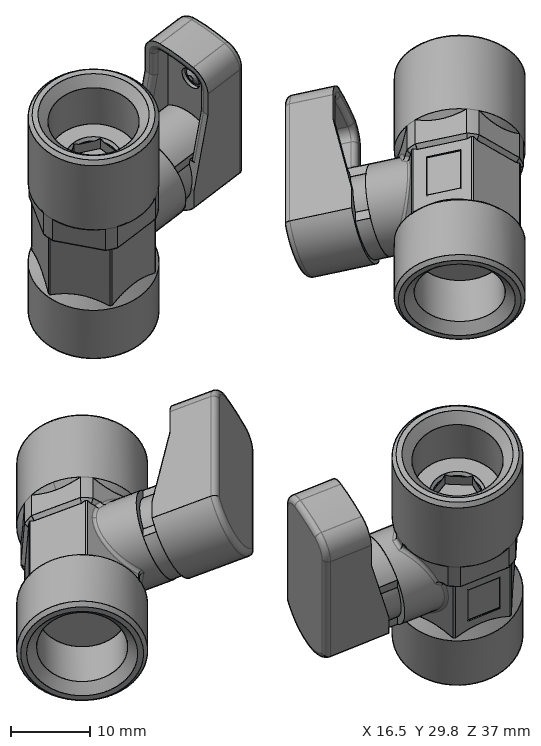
import cadquery as cq
import math

body_length = 37.0
body_radius = 8.25
rim_chamfer = 0.5
lower_port_height = 9.5
upper_port_base = 24.5

hex_flat_radius = 7.0
hex_corner_radius = 8.0
collar_flat_radius = 7.5
collar_base = 20.0
collar_chamfer = collar_flat_radius - hex_flat_radius

port_bore_radius = 5.75
port_mouth_radius = 7.0
port_depth = 8.0

panel_width = 4.5
panel_height = 6.3
panel_center_y = -0.2
panel_center_z = 15.3
panel_depth = 0.2

boss_axis_z = 17.5
boss_radius = 6.0
boss_face_y = 10.5
boss_fillet = 0.5

retainer_thickness = 4.0
socket_flat_radius = 3.0
retainer_top = body_length - port_depth
retainer_base = retainer_top - retainer_thickness
socket_depth = 2.0
socket_mouth_radius = 3.55
socket_chamfer = 0.37

handle_half_width = 5.5
handle_back_y = 21.55
handle_rim_y = 15.0
handle_foot_y = 12.5
handle_top_z = 36.45
taper_top_z = 29.3
taper_bottom_z = 17.28
handle_foot_radius = 6.5
handle_corner_radius = 3.0
handle_crown_radius = 22.2
handle_back_fillet = 0.8
handle_wall = 1.5
handle_mouth_fillet = 0.75
mouth_fillet_end_z = 21.25
cavity_floor_y = 17.55
hub_radius = 5.0

stud_center_z = 30.0
recess_radius = 1.5
recess_depth = 0.5
stud_radius = 1.22
stud_height = 0.8


def cylinder_z(radius, z_from, z_to):
    return cq.Workplane("XY").workplane(offset=z_from).circle(radius).extrude(z_to - z_from)


def cylinder_y(radius, z_center, y_from, y_to):
    return (
        cq.Workplane("XZ", origin=(0, y_from, z_center)).circle(radius).extrude(y_from - y_to)
    )


def hex_prism(flat_radius, z_from, z_to):
    """Hexagonal prism with two flats facing +X and -X."""
    corner_diameter = 2 * flat_radius / math.cos(math.pi / 6)
    return (
        cq.Workplane("XY")
        .workplane(offset=z_from)
        .transformed(rotate=(0, 0, 30))
        .polygon(6, corner_diameter)
        .extrude(z_to - z_from)
    )


def port_cutter():
    """Bore with a 45 degree mouth, opening downwards at Z = 0."""
    mouth_depth = port_mouth_radius - port_bore_radius
    return (
        cq.Workplane("XZ")
        .polyline(
            [
                (0, 0),
                (port_mouth_radius, 0),
                (port_bore_radius, mouth_depth),
                (port_bore_radius, port_depth),
                (0, port_depth),
            ]
        )
        .close()
        .revolve(360, (0, 0, 0), (0, 1, 0))
    )


def port_barrel(height):
    """Solid barrel standing on Z = 0, chamfered below, with a 45 degree shoulder on top."""
    shoulder_rise = body_radius - hex_flat_radius + 0.37
    barrel = cylinder_z(body_radius, 0, height).faces("<Z").chamfer(rim_chamfer)
    shoulder = cq.Workplane(
        cq.Solid.makeCone(
            body_radius,
            body_radius - shoulder_rise,
            shoulder_rise,
            pnt=cq.Vector(0, 0, height),
        )
    )
    return barrel.union(shoulder)


def at_upper_end(shape):
    """Turn a shape of the lower end over to the upper end."""
    return shape.mirror("XY").translate((0, 0, body_length))


def boss_root_edges(body):
    """Edges where the side boss meets the hexagons."""
    tolerance = 0.005

    def on_boss_root(point):
        off_surface = math.hypot(point.x, point.z - boss_axis_z) - boss_radius
        return abs(off_surface) < tolerance and 0 < point.y < boss_face_y - boss_fillet

    samples = [0, 0.3, 0.5, 0.8, 1]
    return [
        edge
        for edge in body.edges().vals()
        if all(on_boss_root(edge.positionAt(sample)) for sample in samples)
    ]


def make_body():
    waist = hex_prism(hex_flat_radius, lower_port_height, upper_port_base).intersect(
        cylinder_z(hex_corner_radius, lower_port_height, upper_port_base)
    )
    collar = (
        hex_prism(collar_flat_radius, collar_base, upper_port_base)
        .intersect(cylinder_z(body_radius, collar_base, upper_port_base))
        .faces("<Z")
        .chamfer(collar_chamfer)
    )
    lower_barrel = port_barrel(lower_port_height)
    upper_barrel = at_upper_end(port_barrel(body_length - upper_port_base))
    body = lower_barrel.union(waist).union(collar).union(upper_barrel)
    boss = cylinder_y(boss_radius, boss_axis_z, 0, boss_face_y)
    body = body.union(boss)
    body = body.newObject(boss_root_edges(body)).fillet(boss_fillet)
    panel = cq.Workplane("XY").box(2 * panel_depth, panel_width, panel_height)
    panel = panel.translate((-hex_flat_radius, panel_center_y, panel_center_z))
    seat = cylinder_z(port_bore_radius, retainer_base, retainer_top)
    return body.cut(port_cutter()).cut(at_upper_end(port_cutter())).cut(seat).cut(panel)


def make_retainer():
    """Plug with a chamfered blind hexagon socket in its top face, two corners of it on the X axis."""
    socket_corner_radius = socket_flat_radius / math.cos(math.pi / 6)
    socket = (
        cq.Workplane("XY")
        .workplane(offset=retainer_top - socket_depth)
        .polygon(6, 2 * socket_corner_radius)
        .extrude(socket_depth)
    )
    mouth = cq.Workplane(
        cq.Solid.makeCone(
            socket_mouth_radius - socket_chamfer,
            socket_mouth_radius,
            socket_chamfer,
            pnt=cq.Vector(0, 0, retainer_top - socket_chamfer),
        )
    )
    plug = cylinder_z(port_bore_radius, retainer_base, retainer_top)
    return plug.cut(socket).cut(mouth)


def handle_outline():
    """Closed outline in X and Z: crowned top, rounded upper corners, foot concentric with the boss."""
    crown_center_z = handle_top_z - handle_crown_radius
    corner_x = handle_half_width - handle_corner_radius
    corner_reach = handle_crown_radius - handle_corner_radius
    corner_z = crown_center_z + math.sqrt(corner_reach**2 - corner_x**2)
    tangent_x = corner_x * handle_crown_radius / corner_reach
    tangent_z = crown_center_z + math.sqrt(handle_crown_radius**2 - tangent_x**2)
    corner_angle = (math.pi / 2 - math.asin(corner_x / corner_reach)) / 2
    middle_x = corner_x + handle_corner_radius * math.cos(corner_angle)
    middle_z = corner_z + handle_corner_radius * math.sin(corner_angle)
    foot_end_z = boss_axis_z - math.sqrt(handle_foot_radius**2 - handle_half_width**2)
    return (
        cq.Workplane("XZ", origin=(0, handle_back_y, 0))
        .moveTo(handle_half_width, foot_end_z)
        .lineTo(handle_half_width, corner_z)
        .threePointArc((middle_x, middle_z), (tangent_x, tangent_z))
        .threePointArc((0, handle_top_z), (-tangent_x, tangent_z))
        .threePointArc((-middle_x, middle_z), (-handle_half_width, corner_z))
        .lineTo(-handle_half_width, foot_end_z)
        .threePointArc((0, boss_axis_z - handle_foot_radius), (handle_half_width, foot_end_z))
        .close()
    )


def handle_side_profile():
    """Side shape in Y and Z: the rim slants from the thin upper part to the thick foot."""
    return (
        cq.Workplane("YZ", origin=(-handle_half_width, 0, 0))
        .polyline(
            [
                (handle_back_y, 0),
                (handle_foot_y, 0),
                (handle_foot_y, taper_bottom_z),
                (handle_rim_y, taper_top_z),
                (handle_rim_y, body_length),
                (handle_back_y, body_length),
            ]
        )
        .close()
        .extrude(2 * handle_half_width)
    )


def make_hub():
    """Round hub with two wider stop lugs, above and below, that just fit between the walls."""
    lug_width = 2 * (handle_half_width - handle_wall)
    lug_length = cavity_floor_y - boss_face_y
    lug_slab = cq.Workplane("XY").box(lug_width, lug_length, 2 * boss_radius)
    lug_slab = lug_slab.translate((0, boss_face_y + lug_length / 2, boss_axis_z))
    lugs = cylinder_y(boss_radius, boss_axis_z, boss_face_y, cavity_floor_y).intersect(lug_slab)
    hub = cylinder_y(hub_radius, boss_axis_z, boss_face_y, cavity_floor_y)
    return lugs.union(hub)


def stud_recess():
    """Cutter for the recess that leaves the conical stud standing."""
    recess_floor_y = cavity_floor_y + recess_depth
    recess = cylinder_y(recess_radius, stud_center_z, handle_rim_y, recess_floor_y)
    stud = cq.Workplane(
        cq.Solid.makeCone(
            stud_radius,
            0,
            stud_height,
            pnt=cq.Vector(0, recess_floor_y, stud_center_z),
            dir=cq.Vector(0, -1, 0),
        )
    )
    return recess.cut(stud)


def cavity_mouth_edges(plain_handle):
    """Edges where the cavity opens through the rim, all the way round."""
    inner_half_width = handle_half_width - handle_wall
    margin = 0.05
    mouth = cq.selectors.BoxSelector(
        (-inner_half_width - margin, handle_foot_y - margin, boss_axis_z - hub_radius - margin),
        (inner_half_width + margin, handle_rim_y + margin, handle_top_z - handle_wall + margin),
        boundingbox=True,
    )
    return plain_handle.edges(mouth)


def make_handle():
    blank = handle_outline().extrude(handle_back_y - handle_foot_y)
    blank = blank.faces(">Y").edges().fillet(handle_back_fillet)
    blank = blank.intersect(handle_side_profile())
    cavity = handle_outline().offset2D(-handle_wall).extrude(handle_back_y - handle_foot_y)
    cavity = cavity.translate((0, cavity_floor_y - handle_back_y, 0))
    plain_handle = blank.cut(cavity)
    rounded_handle = cavity_mouth_edges(plain_handle).fillet(handle_mouth_fillet)
    foot_zone = cq.Workplane("XY").rect(body_length, 2 * body_length).extrude(mouth_fillet_end_z)
    handle = rounded_handle.cut(foot_zone).union(plain_handle.intersect(foot_zone))
    return handle.union(make_hub()).cut(stud_recess())


valve_body = make_body()
retainer = make_retainer()
handle = make_handle()
result = cq.Compound.makeCompound([valve_body.val(), retainer.val(), handle.val()])